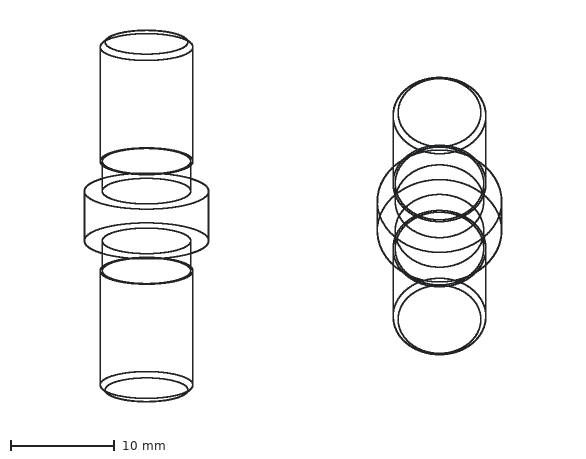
import cadquery as cq

total_length = 35
collar_diameter = 12.0
collar_length = 5.0
neck_diameter = 8.55
neck_length = 3.0
shank_diameter = 8.95
end_chamfer = 0.5

neck_end = collar_length / 2 + neck_length
shank_length = total_length / 2 - neck_end


def centered_cylinder(diameter, length):
    """Cylinder on the Z axis, centered on the origin."""
    return cq.Workplane("XY").circle(diameter / 2).extrude(length / 2, both=True)


def upper_shank():
    """Shank above the collar, chamfered at its free end."""
    shank = cq.Workplane("XY").workplane(offset=neck_end).circle(shank_diameter / 2).extrude(shank_length)
    return shank.faces(">Z").edges().chamfer(end_chamfer)


collar = centered_cylinder(collar_diameter, collar_length)
necks = centered_cylinder(neck_diameter, 2 * neck_end)
shank_above = upper_shank()
shank_below = shank_above.mirror("XY")

result = collar.union(necks).union(shank_above).union(shank_below)